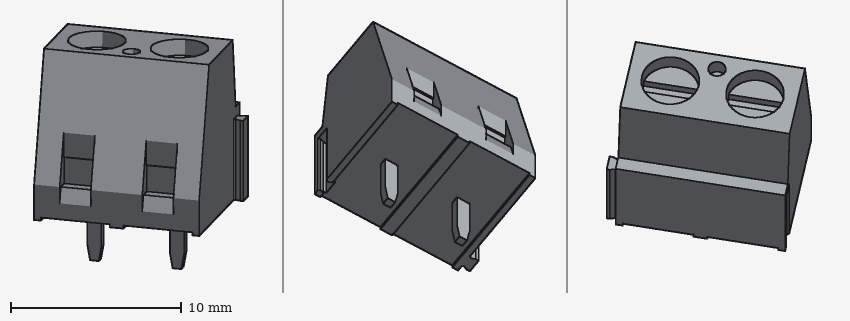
import cadquery as cq

overall_width = 10.76
overall_height = 13.5
pole_count = 2
pole_pitch = 5.08
body_width = pole_count * pole_pitch
body_depth = 8.2
body_height = 9.99
overlap = 0.14

front_wall_height = 2.2
top_front_y = 2.0
top_back_y = 6.79
shoulder_y = 7.37
shoulder_height = 5.67

foot_height = 0.19
end_foot_width = 0.42
middle_foot_width = 2 * end_foot_width

screw_y = 4.36
well_diameter = 3.4
well_depth = 1.0
slot_width = 0.74
slot_depth = 0.5
test_hole_y = 3.01
test_hole_diameter = 1.03
test_hole_depth = 1.0

window_width = 1.92
window_top = 5.32
window_step = 3.8
window_floor = 2.13
window_bottom = 1.19
window_step_depth = 0.11

pin_width = 0.88
pin_thickness = 0.5
pin_y = 4.09
pin_length = overall_height - body_height
pin_tip_length = 0.96
pin_tip_width = 0.53

rail_y = 7.38
rail_height = 5.0
rail_reach = overall_width - body_width
rail_root_width = 0.89
rail_neck_width = 0.73
rail_neck_reach = 0.12
rail_tip_width = 0.95
rail_tip_start = 0.4
groove_mouth_width = 0.97

front_slope = top_front_y / (body_height - front_wall_height)
pole_centers = [(pole + 0.5) * pole_pitch for pole in range(pole_count)]


def box(x_range, y_range, z_range):
    """Box spanning the given ranges along each axis."""
    (x0, x1), (y0, y1), (z0, z1) = x_range, y_range, z_range
    return cq.Workplane("XY").box(x1 - x0, y1 - y0, z1 - z0, centered=False).translate((x0, y0, z0))


def extrude_side_profile(points, x_start, width):
    """Extrude a closed (Y, Z) outline along +X."""
    return cq.Workplane("YZ", origin=(x_start, 0, 0)).polyline(points).close().extrude(width)


def cylinder_from_top(x, y, diameter, depth):
    """Vertical cylinder reaching down from the top face."""
    return cq.Workplane("XY", origin=(x, y, body_height)).circle(diameter / 2).extrude(-depth)


def housing():
    profile = [
        (0, 0),
        (body_depth, 0),
        (body_depth, shoulder_height),
        (shoulder_y, shoulder_height),
        (top_back_y, body_height),
        (top_front_y, body_height),
        (0, front_wall_height),
    ]
    return extrude_side_profile(profile, 0, body_width)


def underside_recess(pole_x):
    """Recess below one pole, bounded by an end foot and the middle foot."""
    half_width = (pole_pitch - end_foot_width - middle_foot_width / 2) / 2
    return box((pole_x - half_width, pole_x + half_width), (0, body_depth), (0, foot_height))


def screw_well(pole_x):
    """Round well above the screw head, with the driver slot below it."""
    well = cylinder_from_top(pole_x, screw_y, well_diameter, well_depth)
    slotted = cylinder_from_top(pole_x, screw_y, well_diameter, well_depth + slot_depth)
    slot = box(
        (pole_x - well_diameter / 2, pole_x + well_diameter / 2),
        (screw_y - slot_width / 2, screw_y + slot_width / 2),
        (body_height - well_depth - slot_depth, body_height),
    )
    return well.union(slotted.intersect(slot))


def wire_window(pole_x):
    """Window with a stepped back wall, a level floor and a sloping sill."""
    back_y = (window_top - front_wall_height) * front_slope
    sill_y = (window_floor - window_bottom) * front_slope
    profile = [
        (0, window_bottom),
        (sill_y, window_floor),
        (back_y + window_step_depth, window_floor),
        (back_y + window_step_depth, window_step),
        (back_y, window_step),
        (back_y, window_top),
        (-overlap, window_top),
        (-overlap, window_bottom),
    ]
    return extrude_side_profile(profile, pole_x - window_width / 2, window_width)


def pin(pole_x):
    tip_start = pin_tip_length - pin_length
    outline = [
        (-pin_width / 2, foot_height),
        (-pin_width / 2, tip_start),
        (-pin_tip_width / 2, -pin_length),
        (pin_tip_width / 2, -pin_length),
        (pin_width / 2, tip_start),
        (pin_width / 2, foot_height),
    ]
    origin = (pole_x, pin_y + pin_thickness / 2, 0)
    return cq.Workplane("XZ", origin=origin).polyline(outline).close().extrude(pin_thickness)


def dovetail(x_start, root_width):
    """Vertical bar that narrows to a neck and flares again toward +X."""
    half_outline = [
        (0, root_width / 2),
        (rail_neck_reach, rail_neck_width / 2),
        (rail_tip_start, rail_tip_width / 2),
        (rail_reach, rail_tip_width / 2),
    ]
    mirrored = [(x, -y) for x, y in reversed(half_outline)]
    plan = cq.Workplane("XY", origin=(x_start, rail_y, 0))
    return plan.polyline(half_outline + mirrored).close().extrude(rail_height)


result = housing()
for center in pole_centers:
    result = result.cut(underside_recess(center)).cut(screw_well(center)).cut(wire_window(center))
    result = result.union(pin(center))
result = result.cut(cylinder_from_top(body_width / 2, test_hole_y, test_hole_diameter, test_hole_depth))
result = result.cut(dovetail(0, groove_mouth_width))
result = result.union(dovetail(body_width, rail_root_width))